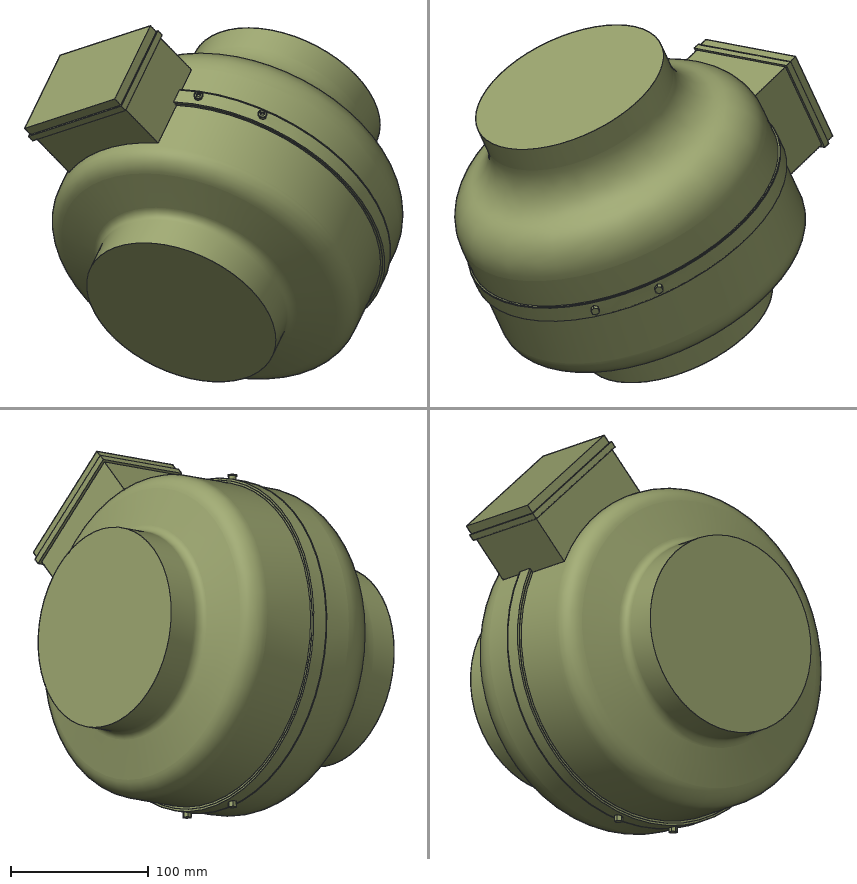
import cadquery as cq

TOTAL_LENGTH = 215.2
FRONT_PIPE_END = 23.2
FRONT_CONE_START = 30.0
FRONT_CONE_END = 37.5
FRONT_SHELL_START = 53.2
BAND_START = 95.0
BAND_END = 107.0
BAND_FRONT_STEP = 0.3
BAND_REAR_LIP = 0.8
REAR_SHELL_END = 130.5
REAR_CURVE_MIDDLE = 162.9
REAR_PIPE_START = 195.5

PIPE_RADIUS = 73.5
CONE_INNER_RADIUS = 78.5
CONE_OUTER_RADIUS = 107.0
FRONT_SHELL_RADIUS = 119.0
REAR_SHELL_RADIUS = 120.5
BAND_RADIUS = 122.2
REAR_LIP_RADIUS = 122.0

BOX_TILT = 42.5
BOX_TOP = 159.3
LID_BOTTOM = 152.5
RIM_BOTTOM = 147.5
BOX_BASE = 81.8
LID_WIDTH = 95.0
RIM_WIDTH = 97.7
BODY_WIDTH = 93.8
BOX_CENTER_Y = 92.7
LID_LENGTH = 73.5
RIM_FRONT = 54.5
RIM_LENGTH = 75.5
BODY_LENGTH = 71.7

BOLT_OFFSET_X = 24.8
BOLT_Y = 101.5
BOLT_ROOT = 114.5
BOLT_TOP = 122.8
NUT_END = 123.3
HEAD_RADIUS = 3.3
HEAD_THICKNESS = 0.8
SOCKET_ACROSS_CORNERS = 3.3
SOCKET_DEPTH = 1.5
NECK_RADIUS = 2.7
NUT_ACROSS_CORNERS = 6.3


def make_housing():
    """Turn the solid fan housing about the Y axis."""
    rear_middle_radius = (PIPE_RADIUS + REAR_SHELL_RADIUS) / 2
    step_start = BAND_START - BAND_FRONT_STEP
    lip_end = BAND_END + BAND_REAR_LIP
    profile = (
        cq.Workplane("XY")
        .lineTo(PIPE_RADIUS, 0)
        .lineTo(PIPE_RADIUS, FRONT_PIPE_END)
        .tangentArcPoint((CONE_INNER_RADIUS, FRONT_CONE_START), relative=False)
        .lineTo(CONE_OUTER_RADIUS, FRONT_CONE_END)
        .tangentArcPoint((FRONT_SHELL_RADIUS, FRONT_SHELL_START), relative=False)
        .lineTo(FRONT_SHELL_RADIUS, step_start)
        .lineTo(REAR_SHELL_RADIUS, step_start)
        .lineTo(REAR_SHELL_RADIUS, BAND_START)
        .lineTo(BAND_RADIUS, BAND_START)
        .lineTo(BAND_RADIUS, BAND_END)
        .lineTo(REAR_LIP_RADIUS, BAND_END)
        .lineTo(REAR_LIP_RADIUS, lip_end)
        .lineTo(REAR_SHELL_RADIUS, lip_end)
        .lineTo(REAR_SHELL_RADIUS, REAR_SHELL_END)
        .tangentArcPoint((rear_middle_radius, REAR_CURVE_MIDDLE), relative=False)
        .tangentArcPoint((PIPE_RADIUS, REAR_PIPE_START), relative=False)
        .lineTo(PIPE_RADIUS, TOTAL_LENGTH)
        .lineTo(0, TOTAL_LENGTH)
        .close()
    )
    return profile.revolve(360, (0, 0, 0), (0, 1, 0))


def box_layer(width, length, center_y, bottom, top):
    """One rectangular layer of the terminal box, before tilting."""
    return (
        cq.Workplane("XY")
        .workplane(offset=bottom)
        .center(0, center_y)
        .rect(width, length)
        .extrude(top - bottom)
    )


def make_terminal_box():
    """Stack body, rim and lid, then tilt them about the fan axis toward -X."""
    body = box_layer(BODY_WIDTH, BODY_LENGTH, BOX_CENTER_Y, BOX_BASE, RIM_BOTTOM)
    rim = box_layer(RIM_WIDTH, RIM_LENGTH, RIM_FRONT + RIM_LENGTH / 2, RIM_BOTTOM, LID_BOTTOM)
    lid = box_layer(LID_WIDTH, LID_LENGTH, BOX_CENTER_Y, LID_BOTTOM, BOX_TOP)
    return body.union(rim).union(lid).rotate((0, 0, 0), (0, 1, 0), -BOX_TILT)


def make_bolt(x):
    """A vertical bolt with a socketed disc head above the housing and a hex nut below it."""
    neck = (
        cq.Workplane("XY", origin=(x, BOLT_Y, BOLT_ROOT))
        .circle(NECK_RADIUS)
        .extrude(BOLT_TOP - BOLT_ROOT)
    )
    head = (
        cq.Workplane("XY", origin=(x, BOLT_Y, BOLT_TOP - HEAD_THICKNESS))
        .circle(HEAD_RADIUS)
        .extrude(HEAD_THICKNESS)
    )
    socket = (
        cq.Workplane("XY", origin=(x, BOLT_Y, BOLT_TOP - SOCKET_DEPTH))
        .polygon(6, SOCKET_ACROSS_CORNERS)
        .extrude(SOCKET_DEPTH)
    )
    nut = (
        cq.Workplane("XY", origin=(x, BOLT_Y, -NUT_END))
        .transformed(rotate=(0, 0, 90))
        .polygon(6, NUT_ACROSS_CORNERS)
        .extrude(NUT_END - BOLT_ROOT)
    )
    return neck.union(head).cut(socket).union(nut)


result = make_housing().union(make_terminal_box())
for bolt_x in (-BOLT_OFFSET_X, BOLT_OFFSET_X):
    result = result.union(make_bolt(bolt_x))